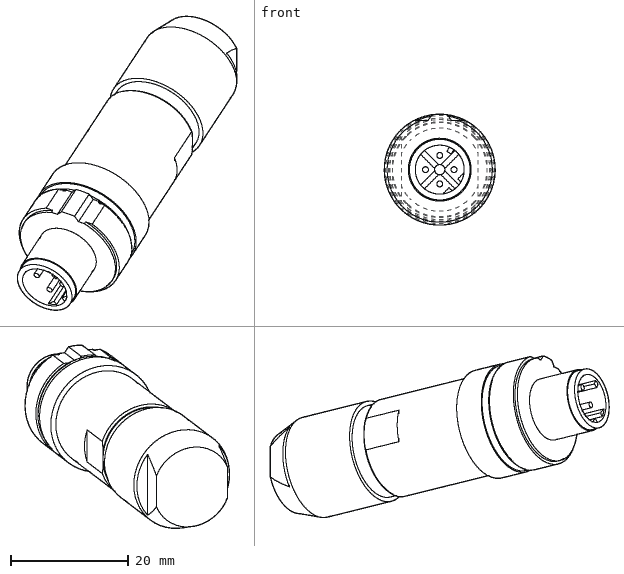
import cadquery as cq
import math

LENGTH = 62.3
FRONT_Y = -LENGTH / 2
REAR_Y = LENGTH / 2

CABLE_NUT_RADIUS = 8.8
CABLE_NUT_FRONT_Y = 13.1
CONE_START_Y = 26.4
CONE_END_RADIUS = 7.1
WRENCH_FLAT_X = 6.55
WRENCH_FLAT_START_Y = 27.2

GROOVE_RADIUS = 8.05
BARREL_RADIUS = 8.55
BARREL_REAR_Y = 10.6
BARREL_CHAMFER = 0.4
BARREL_FLAT_X = 8.05
BARREL_FLAT_FRONT_Y = 3.35

COLLAR_RADIUS = 9.5
COLLAR_REAR_Y = -9.65
COLLAR_STEP_Y = -14.8
COLLAR_STEP_RADIUS = 9.2

NUT_RADIUS = COLLAR_RADIUS
NUT_REAR_Y = -16.15
NUT_FRONT_Y = -21.95
NUT_END_RADIUS = 9.0
NUT_REAR_STEP = 0.3
NUT_FRONT_STEP = 0.5
SLEEVE_RADIUS = 5.35
SLEEVE_TIP_RADIUS = 5.2
SLEEVE_STEP_Y = -29.7

NUT_FLAT_Z = 8.4
RIB_BASE_WIDTH = 4.0
RIB_CREST_WIDTH = 2.35

INSERT_RADIUS = 4.2
KEY_FRONT_Y = FRONT_Y + 0.4
SOCKET_FLOOR_Y = -23.7

PIN_RADIUS = 0.5
PIN_CIRCLE_RADIUS = 2.4
PIN_COUNT = 4
PIN_TIP_Y = FRONT_Y + 1.95
CROSS_GROOVE_WIDTH = 0.95
CROSS_GROOVE_DEPTH = 0.3
CROSS_GROOVE_ANGLES = (45, -45)
BOSS_RADIUS = 0.9
BOSS_HEIGHT = 0.3

FLAT_KEY_ANGLE = -45
FLAT_KEY_DISTANCE = 3.3
FLAT_KEY_CHANNEL_WIDTH = 2.1
SMALL_KEY_ANGLE = 61
SMALL_KEY_DISTANCE = 3.3
SMALL_KEY_WIDTH = 0.9


def cylinder(radius, y_start, y_end, x=0.0, z=0.0):
    """Cylinder parallel to Y between two Y positions."""
    height = y_end - y_start
    return cq.Workplane(cq.Solid.makeCylinder(radius, height, cq.Vector(x, y_start, z), cq.Vector(0, 1, 0)))


def block(x_range, y_range, z_range):
    """Box between pairs of limits."""
    size = [high - low for low, high in (x_range, y_range, z_range)]
    corner = cq.Vector(x_range[0], y_range[0], z_range[0])
    return cq.Workplane(cq.Solid.makeBox(*size, corner))


def turn(shape, angle):
    """Rotate about the Y axis, from +X towards +Z."""
    return shape.rotate((0, 0, 0), (0, 1, 0), -angle)


def revolve_profile(points):
    """Revolve (radius, y) points, closed along the Y axis."""
    return cq.Workplane("XY").polyline(points).close().revolve(360, (0, 0, 0), (0, 1, 0))


def make_shell():
    """Turned outside of the housing: cable nut, groove, barrel and collar."""
    return revolve_profile([
        (0, REAR_Y),
        (CONE_END_RADIUS, REAR_Y),
        (CABLE_NUT_RADIUS, CONE_START_Y),
        (CABLE_NUT_RADIUS, CABLE_NUT_FRONT_Y),
        (GROOVE_RADIUS, CABLE_NUT_FRONT_Y),
        (GROOVE_RADIUS, BARREL_REAR_Y),
        (BARREL_RADIUS - BARREL_CHAMFER, BARREL_REAR_Y),
        (BARREL_RADIUS, BARREL_REAR_Y - BARREL_CHAMFER),
        (BARREL_RADIUS, COLLAR_REAR_Y),
        (COLLAR_RADIUS, COLLAR_REAR_Y),
        (COLLAR_RADIUS, COLLAR_STEP_Y),
        (COLLAR_STEP_RADIUS, COLLAR_STEP_Y),
        (COLLAR_STEP_RADIUS, NUT_REAR_Y),
        (0, NUT_REAR_Y),
    ])


def cut_side_flats(body, flat_x, y_range):
    """Cut a pair of parallel flats on the -X and +X sides."""
    reach = COLLAR_RADIUS
    for x_range in ((-reach, -flat_x), (flat_x, reach)):
        body = body.cut(block(x_range, y_range, (-reach, reach)))
    return body


def socket_keys():
    """Channelled flat key and small coding key, both along the whole socket wall."""
    y_range = (KEY_FRONT_Y, SOCKET_FLOOR_Y)
    reach = (-INSERT_RADIUS, INSERT_RADIUS)
    half_channel = FLAT_KEY_CHANNEL_WIDTH / 2
    half_width = SMALL_KEY_WIDTH / 2
    flat_key = block((FLAT_KEY_DISTANCE, INSERT_RADIUS), y_range, reach)
    flat_key = flat_key.cut(block((0, INSERT_RADIUS), y_range, (-half_channel, half_channel)))
    small_key = block((SMALL_KEY_DISTANCE, INSERT_RADIUS), y_range, (-half_width, half_width))
    keys = turn(flat_key, FLAT_KEY_ANGLE).union(turn(small_key, SMALL_KEY_ANGLE))
    return keys.intersect(cylinder(INSERT_RADIUS, *y_range))


def make_insert():
    """Contact insert: grooved floor with wall keys, a central boss and the contact pins."""
    insert = cylinder(INSERT_RADIUS, SOCKET_FLOOR_Y, NUT_REAR_Y)

    groove_range = (SOCKET_FLOOR_Y, SOCKET_FLOOR_Y + CROSS_GROOVE_DEPTH)
    half_width = CROSS_GROOVE_WIDTH / 2
    bar = block((-INSERT_RADIUS, INSERT_RADIUS), groove_range, (-half_width, half_width))
    for angle in CROSS_GROOVE_ANGLES:
        insert = insert.cut(turn(bar, angle))

    insert = insert.union(socket_keys())
    insert = insert.union(cylinder(BOSS_RADIUS, SOCKET_FLOOR_Y - BOSS_HEIGHT, groove_range[1]))
    for index in range(PIN_COUNT):
        angle = 2 * math.pi * index / PIN_COUNT
        x = PIN_CIRCLE_RADIUS * math.cos(angle)
        z = PIN_CIRCLE_RADIUS * math.sin(angle)
        insert = insert.union(cylinder(PIN_RADIUS, PIN_TIP_Y, groove_range[1], x, z))
    return insert


def make_housing():
    """Housing with the contact insert that carries the coupling nut."""
    housing = make_shell()
    housing = cut_side_flats(housing, WRENCH_FLAT_X, (WRENCH_FLAT_START_Y, REAR_Y))
    housing = cut_side_flats(housing, BARREL_FLAT_X, (BARREL_FLAT_FRONT_Y, BARREL_REAR_Y))
    return housing.union(make_insert())


def pointer_rib():
    """Tapered rib on the nut flat, ending at the full nut radius."""
    rib = (
        cq.Workplane("XZ", origin=(0, NUT_REAR_Y, 0))
        .moveTo(-RIB_BASE_WIDTH / 2, NUT_FLAT_Z)
        .lineTo(RIB_BASE_WIDTH / 2, NUT_FLAT_Z)
        .lineTo(RIB_CREST_WIDTH / 2, NUT_RADIUS)
        .lineTo(-RIB_CREST_WIDTH / 2, NUT_RADIUS)
        .close()
        .extrude(NUT_REAR_Y - NUT_FRONT_Y)
    )
    return rib.intersect(cylinder(NUT_RADIUS, NUT_FRONT_Y, NUT_REAR_Y))


def make_coupling_nut():
    """Coupling nut and sleeve, bored through for the contact insert."""
    rear_step_y = NUT_REAR_Y - NUT_REAR_STEP
    front_step_y = NUT_FRONT_Y + NUT_FRONT_STEP
    nut = revolve_profile([
        (0, NUT_REAR_Y),
        (NUT_END_RADIUS, NUT_REAR_Y),
        (NUT_END_RADIUS, rear_step_y),
        (NUT_RADIUS, rear_step_y),
        (NUT_RADIUS, front_step_y),
        (NUT_END_RADIUS, front_step_y),
        (NUT_END_RADIUS, NUT_FRONT_Y),
        (SLEEVE_RADIUS, NUT_FRONT_Y),
        (SLEEVE_RADIUS, SLEEVE_STEP_Y),
        (SLEEVE_TIP_RADIUS, SLEEVE_STEP_Y),
        (SLEEVE_TIP_RADIUS, FRONT_Y),
        (0, FRONT_Y),
    ])
    above_flat = block((-NUT_RADIUS, NUT_RADIUS), (NUT_FRONT_Y, NUT_REAR_Y), (NUT_FLAT_Z, NUT_RADIUS))
    nut = nut.cut(above_flat).union(pointer_rib())
    return nut.cut(cylinder(INSERT_RADIUS, FRONT_Y, NUT_REAR_Y))


housing = make_housing()
coupling_nut = make_coupling_nut()

result = cq.Compound.makeCompound([housing.solids().val(), coupling_nut.solids().val()])